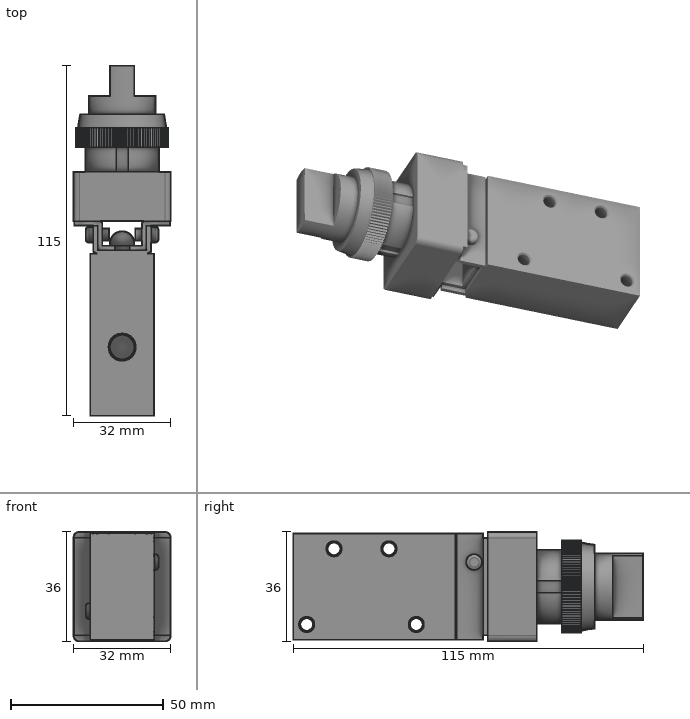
import cadquery as cq
import math


body_shoulder_y = 53.2
fork_floor_y = 54.4
pin_y = 59.5
fork_tip_y = 62.5
housing_front_y = 63.9
housing_back_y = 80.0
ring_front_y = 88.2
ring_back_y = 94.6
collar_back_y = 99.0
blade_root_y = 105.0
handle_tip_y = 115.0

body_width = 21.0
body_height = 35.0
fork_width = 19.0
sheet_thickness = 1.5
relief_length = 0.6
relief_depth = 1.2

port_diameter = 8.0
port_y = 22.5
port_depth = 9.2
bolt_diameter = 4.1
bolt_offset_z = 12.4
upper_bolt_y = (13.5, 31.5)
lower_bolt_y = (4.5, 40.5)
hole_chamfer = 0.5
countersink_angle = 90

bracket_width = 31.5
bracket_outer_bend = 0.9
bracket_base_bend = 0.5

plunger_dome_diameter = 8.0
plunger_stem_diameter = 5.0
plunger_dome_y = 56.6

pin_diameter = 4.1
pin_head_diameter = 5.2
pin_head_fillet = 1.0
pin_inner_x = 4.3
pin_outer_x = 12.0
pin_offset_z = 8.0

housing_width = 32.0
housing_height = 36.0
housing_fillet = 2.0
neck_diameter = 24.6
keyway_width = 3.9
keyway_depth = 1.0
keyway_count = 4
ring_diameter = 30.4
knurl_depth = 0.6
knurl_teeth = 96
collar_front_diameter = 29.1
collar_back_diameter = 27.6
handle_diameter = 22.0
blade_thickness = 8.0
blade_hollow = 0.2

fork_inner_width = fork_width - 2 * sheet_thickness
bracket_inner_width = fork_inner_width - 2 * sheet_thickness
bracket_height = housing_height - 2 * housing_fillet
base_back_y = fork_floor_y + sheet_thickness


def block(width, height, y_start, y_end):
    """Box centred on the Y axis, spanning y_start to y_end."""
    length = y_end - y_start
    return cq.Workplane("XY").box(width, length, height).translate((0, y_start + length / 2, 0))


def cylinder(diameter, y_start, y_end):
    """Round bar on the Y axis, spanning y_start to y_end."""
    return cq.Workplane("XZ", origin=(0, y_start, 0)).circle(diameter / 2).extrude(y_start - y_end)


def make_body():
    body = block(body_width, body_height, 0, body_shoulder_y)
    fork = block(fork_width, body_height, body_shoulder_y, fork_tip_y)
    fork_gap = block(fork_inner_width, body_height, fork_floor_y, fork_tip_y)
    body = body.union(fork).cut(fork_gap)
    for side in (-1, 1):
        arm_face = side * fork_width / 2
        relief = (
            cq.Workplane("XY", origin=(0, 0, -body_height / 2))
            .moveTo(arm_face, body_shoulder_y)
            .lineTo(arm_face - side * relief_depth, body_shoulder_y)
            .lineTo(arm_face, body_shoulder_y + relief_length)
            .close()
            .extrude(body_height)
        )
        body = body.cut(relief)
    return body


def make_holes(body):
    bolt_points = [(y, bolt_offset_z) for y in upper_bolt_y]
    bolt_points += [(y, -bolt_offset_z) for y in lower_bolt_y]
    bolt_countersink = bolt_diameter + 2 * hole_chamfer
    for direction in (">X", "<X"):
        for y, z in bolt_points:
            body = (
                body.faces(direction)
                .workplane(origin=(0, y, z))
                .cskHole(bolt_diameter, bolt_countersink, countersink_angle)
            )
    return (
        body.faces(">Z")
        .workplane(origin=(0, port_y, 0))
        .cskHole(port_diameter, port_diameter + 2 * hole_chamfer, countersink_angle, depth=port_depth)
    )


def make_bracket():
    channel = block(fork_inner_width, bracket_height, fork_floor_y, housing_front_y)
    channel = channel.edges("|Z and <Y").fillet(bracket_base_bend)
    flange = block(bracket_width, bracket_height, fork_tip_y, housing_front_y)
    gap = block(bracket_inner_width, bracket_height, base_back_y, housing_front_y)
    bracket = channel.union(flange).cut(gap)
    for side in (-1, 1):
        bend_edge = cq.selectors.NearestToPointSelector((side * bracket_inner_width / 2, housing_front_y, 0))
        bracket = bracket.edges(bend_edge).fillet(bracket_outer_bend)
    slot = block(plunger_stem_diameter, bracket_height, fork_floor_y, base_back_y)
    return bracket.cut(slot.translate((0, 0, bracket_height / 2)))


def make_plunger():
    stem = cylinder(plunger_stem_diameter, fork_floor_y, plunger_dome_y)
    ball = cq.Workplane("XY").sphere(plunger_dome_diameter / 2).translate((0, plunger_dome_y, 0))
    ball_space = block(plunger_dome_diameter, plunger_dome_diameter, base_back_y, housing_front_y)
    return stem.union(ball.intersect(ball_space))


def make_pin():
    """Pin pointing along +X with its rounded head outside the fork arm."""
    shank = (
        cq.Workplane("YZ", origin=(pin_inner_x, pin_y, pin_offset_z))
        .circle(pin_diameter / 2)
        .extrude(fork_width / 2 - pin_inner_x)
    )
    head = (
        cq.Workplane("YZ", origin=(fork_width / 2, pin_y, pin_offset_z))
        .circle(pin_head_diameter / 2)
        .extrude(pin_outer_x - fork_width / 2)
        .faces(">X")
        .edges()
        .fillet(pin_head_fillet)
    )
    return shank.union(head)


def make_housing():
    housing = block(housing_width, housing_height, housing_front_y, housing_back_y)
    return housing.edges("|Y").fillet(housing_fillet)


def make_neck():
    neck = cylinder(neck_diameter, housing_back_y, ring_front_y)
    keyway = block(keyway_width, 2 * keyway_depth, housing_back_y, ring_front_y)
    keyway = keyway.translate((0, 0, neck_diameter / 2))
    for index in range(keyway_count):
        neck = neck.cut(keyway.rotate((0, 0, 0), (0, 1, 0), index * 360 / keyway_count))
    return neck


def make_knurled_ring():
    crest_radius = ring_diameter / 2
    outline = []
    for index in range(2 * knurl_teeth):
        radius = crest_radius - knurl_depth * (index % 2)
        angle = math.pi * index / knurl_teeth
        outline.append((radius * math.cos(angle), radius * math.sin(angle)))
    ring = cq.Workplane("XZ", origin=(0, ring_front_y, 0)).polyline(outline).close()
    return ring.extrude(ring_front_y - ring_back_y)


def make_handle():
    collar = (
        cq.Workplane("XY")
        .moveTo(0, ring_back_y)
        .lineTo(collar_front_diameter / 2, ring_back_y)
        .lineTo(collar_back_diameter / 2, collar_back_y)
        .lineTo(0, collar_back_y)
        .close()
        .revolve(360, (0, 0, 0), (0, 1, 0))
    )
    drum = cylinder(handle_diameter, collar_back_y, blade_root_y)
    half_thickness = blade_thickness / 2
    waist = half_thickness - blade_hollow
    half_width = math.sqrt(handle_diameter**2 - blade_thickness**2) / 2
    blade = (
        cq.Workplane("XZ", origin=(0, blade_root_y, 0))
        .moveTo(half_thickness, -half_width)
        .threePointArc((waist, 0), (half_thickness, half_width))
        .threePointArc((0, handle_diameter / 2), (-half_thickness, half_width))
        .threePointArc((-waist, 0), (-half_thickness, -half_width))
        .threePointArc((0, -handle_diameter / 2), (half_thickness, -half_width))
        .close()
        .extrude(blade_root_y - handle_tip_y)
    )
    return collar.union(drum).union(blade)


right_pin = make_pin()
left_pin = right_pin.rotate((0, 0, 0), (0, 1, 0), 180)

result = make_holes(make_body())
for component in (
    make_bracket(),
    make_plunger(),
    right_pin,
    left_pin,
    make_housing(),
    make_neck(),
    make_knurled_ring(),
    make_handle(),
):
    result = result.union(component)